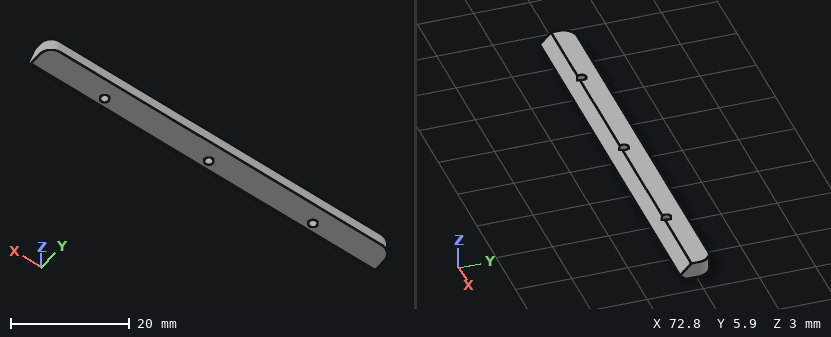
import cadquery as cq

length = 72.8
depth = 5.9
height = 3.0
edge_height = 0.95
corner_radius = 2.5
hole_diameter = 1.6
hole_spacing = 22.0
hole_from_back = 3.35

front = -depth / 2
back = depth / 2
top_bevel = height - edge_height
bottom_bevel = edge_height


def make_bar():
    """Bar with a pointed front edge, extruded along its length."""
    profile = [
        (back, 0),
        (back, height),
        (front + top_bevel, height),
        (front, edge_height),
        (front + bottom_bevel, 0),
    ]
    return (
        cq.Workplane("YZ")
        .polyline(profile)
        .close()
        .extrude(length / 2, both=True)
    )


def round_back_corners(bar):
    """Round the two upright edges at the ends of the back face."""
    return bar.edges("|Z").edges(">Y").fillet(corner_radius)


def make_holes():
    """Row of three through holes, the middle one at mid-length."""
    hole_y = back - hole_from_back
    centres = [(step * hole_spacing, hole_y) for step in (-1, 0, 1)]
    return (
        cq.Workplane("XY")
        .pushPoints(centres)
        .circle(hole_diameter / 2)
        .extrude(height)
    )


result = round_back_corners(make_bar()).cut(make_holes())